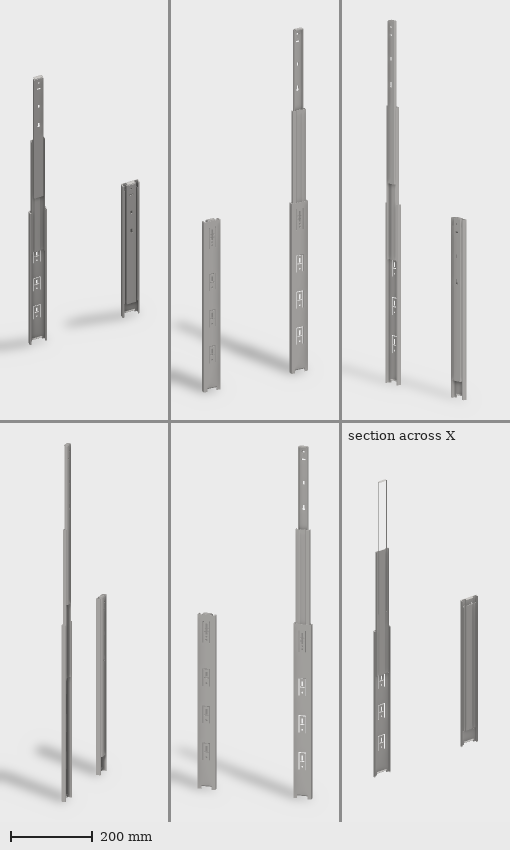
import cadquery as cq


total_height = 907.0
slide_spacing = 246.0
sheet = 1.1

outer_length = 450.0
outer_width = 45.0
outer_depth = 11.0
outer_flange = 3.0
outer_lip = 4.5

middle_length = 385.0
middle_width = 35.0
middle_back = 2.3
band_rise = 2.0
band_foot_half = 9.0
band_crown_half = 6.8

inner_length = 405.0
inner_width = 24.5
inner_back = 4.5
inner_front = 13.0

cap_back = 3.0
cap_width = 20.0
cap_thickness = 3.0
cap_rise = 2.0

extended_middle_bottom = 308.0
extended_inner_bottom = total_height - cap_rise - inner_length
closed_middle_bottom = 45.0
closed_inner_bottom = outer_length - inner_length

tab_slot_offset = 8.6
tab_slot_width = 2.3
cross_slot_half = 6.0
tab_hole = 4.6

tab_tops = (311.0, 215.0, 120.0)
tab_height = 45.0
tab_window_top = 8.0
tab_window_bottom = 21.0
tab_cross_depth = 24.0
tab_hole_depth = 37.0

top_tab_top = 433.5
top_tab_height = 56.0
top_tab_window_top = 6.0
top_tab_window_bottom = 34.5
top_tab_cross_depths = (19.0, 27.0)
top_tab_hole_depths = (40.0, 48.0)

notch_width = 26.0
stop_bottom = 7.0
stop_bend = 3.0
stop_reach = 4.0

slot_width = 4.4
recess_diameter = 10.0
recess_hole = 4.4
recess_depth = 14.0
recess_slot_bottom = 26.0
cross_window_top = 32.0
cross_window_bottom = 35.0
slot_top = 89.0
slot_bottom = 98.0
keyhole_diameter = 6.4
keyhole_depth = 161.0
keyhole_slot_top = 151.0


def box(x0, x1, y_half, z0, z1, y_centre=0.0):
    """Box spanning x0..x1 and z0..z1, reaching y_half to both sides of y_centre."""
    return (
        cq.Workplane("XY")
        .box(x1 - x0, 2 * y_half, z1 - z0, centered=(False, True, False))
        .translate((x0, y_centre, z0))
    )


def round_cutter(diameter, z, x0, x1):
    """Cylinder along X at height z on the centre plane."""
    return cq.Workplane("YZ", origin=(x0, 0, z)).circle(diameter / 2).extrude(x1 - x0)


def outer_web_slot(y_half, z0, z1, y_centre=0.0):
    """Rectangular cutter through the outer web."""
    return box(-sheet, 2 * sheet, y_half, z0, z1, y_centre)


def outer_web_hole(z):
    """Round cutter through the outer web."""
    return round_cutter(tab_hole, z, -sheet, 2 * sheet)


def side_slots(z0, z1):
    """Pair of upright slots that free the long sides of a tab."""
    left = outer_web_slot(tab_slot_width / 2, z0, z1, tab_slot_offset)
    right = outer_web_slot(tab_slot_width / 2, z0, z1, -tab_slot_offset)
    return left.union(right)


def cross_slot(z):
    """Short slot across a tab, centred at height z."""
    return outer_web_slot(cross_slot_half, z - tab_slot_width / 2, z + tab_slot_width / 2)


def standard_tab(top):
    """Tab freed at its top and sides, with a window, a cross slot and a round hole in it."""
    cutter = side_slots(top - tab_height, top)
    cutter = cutter.union(outer_web_slot(tab_slot_offset, top - tab_slot_width, top))
    cutter = cutter.union(outer_web_slot(tab_hole / 2, top - tab_window_bottom, top - tab_window_top))
    cutter = cutter.union(cross_slot(top - tab_cross_depth))
    return cutter.union(outer_web_hole(top - tab_hole_depth))


def top_tab():
    """Longer tab freed at its sides, with a window, two cross slots and two round holes in it."""
    top = top_tab_top
    cutter = side_slots(top - top_tab_height, top)
    cutter = cutter.union(
        outer_web_slot(tab_hole / 2, top - top_tab_window_bottom, top - top_tab_window_top)
    )
    for depth in top_tab_cross_depths:
        cutter = cutter.union(cross_slot(top - depth))
    for depth in top_tab_hole_depths:
        cutter = cutter.union(outer_web_hole(top - depth))
    return cutter


def stop_lip():
    """Lip bent inward along the top of the notch."""
    bend_top = stop_bottom + stop_bend
    points = [
        (0, bend_top),
        (sheet, stop_bottom),
        (stop_reach, stop_bottom),
        (stop_reach, stop_bottom + sheet),
        (sheet, bend_top),
    ]
    return cq.Workplane("XZ").polyline(points).close().extrude(notch_width / 2, both=True)


def outer_rail():
    """Rail standing on Z = 0."""
    half = outer_width / 2
    rail = box(0, outer_depth, half, 0, outer_length)
    rail = rail.cut(box(sheet, outer_depth - sheet, half - outer_flange, 0, outer_length))
    rail = rail.cut(box(sheet, outer_depth, half - outer_lip, 0, outer_length))
    rail = rail.cut(outer_web_slot(notch_width / 2, 0, stop_bottom + stop_bend))
    rail = rail.union(stop_lip())
    for top in tab_tops:
        rail = rail.cut(standard_tab(top))
    return rail.cut(top_tab())


def middle_rail():
    """Rail standing on Z = 0."""
    half = middle_width / 2
    back = middle_back
    front = back + sheet
    right_half = [
        (back + band_rise, band_crown_half),
        (back, band_foot_half),
        (back, half),
        (outer_depth, half),
        (outer_depth, half - sheet),
        (front, half - sheet),
        (front, band_foot_half),
        (front + band_rise, band_crown_half),
    ]
    left_half = [(x, -y) for x, y in reversed(right_half)]
    return cq.Workplane("XY").polyline(right_half + left_half).close().extrude(middle_length)


def inner_openings():
    """Cutters for the openings of the inner web."""
    x0 = inner_front - 2 * sheet
    through = inner_front + sheet
    blind = inner_front - sheet / 2
    top = inner_length

    cutter = round_cutter(recess_diameter, top - recess_depth, x0, blind)
    cutter = cutter.union(round_cutter(recess_hole, top - recess_depth, x0, through))
    cutter = cutter.union(box(x0, blind, slot_width / 2, top - recess_slot_bottom, top - recess_depth))

    cutter = cutter.union(
        box(x0, through, recess_diameter / 2, top - cross_window_bottom, top - cross_window_top)
    )
    cutter = cutter.union(box(x0, through, slot_width / 2, top - slot_bottom, top - slot_top))

    cutter = cutter.union(round_cutter(keyhole_diameter, top - keyhole_depth, x0, through))
    return cutter.union(box(x0, through, slot_width / 2, top - keyhole_depth, top - keyhole_slot_top))


def inner_rail():
    """Rail standing on Z = 0."""
    half = inner_width / 2
    rail = box(inner_back, inner_front, half, 0, inner_length)
    rail = rail.cut(box(inner_back, inner_front - sheet, half - sheet, 0, inner_length))
    return rail.cut(inner_openings())


def end_cap():
    """Plate in the upper end of an inner rail that stands on Z = 0."""
    top = inner_length + cap_rise
    return box(cap_back, inner_front - sheet, cap_width / 2, top - cap_thickness, top)


def slide(y, middle_bottom, inner_bottom):
    """The four bodies of one slide with its centre plane at y."""
    return [
        outer_rail().translate((0, y, 0)).val(),
        middle_rail().translate((0, y, middle_bottom)).val(),
        inner_rail().translate((0, y, inner_bottom)).val(),
        end_cap().translate((0, y, inner_bottom)).val(),
    ]


extended_slide = slide(0, extended_middle_bottom, extended_inner_bottom)
closed_slide = slide(slide_spacing, closed_middle_bottom, closed_inner_bottom)

result = cq.Compound.makeCompound([*extended_slide, *closed_slide])